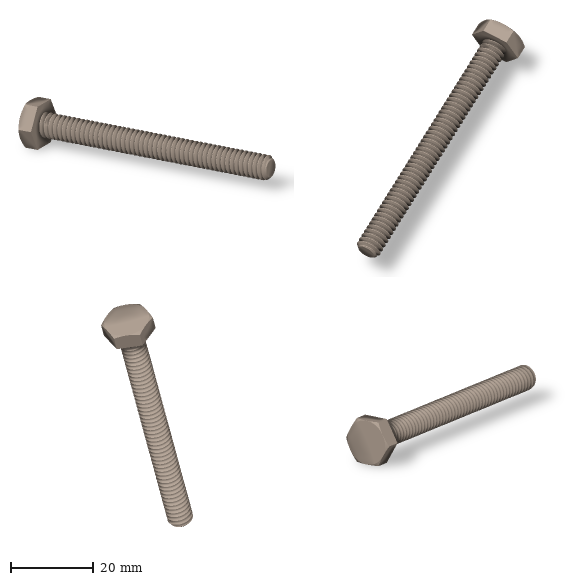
import cadquery as cq
import math

INCH = 25.4

across_flats = 7 / 16 * INCH
across_corners = across_flats / math.cos(math.radians(30))
head_height = 5 / 32 * INCH
head_chamfer_angle = 30
head_face_diameter = 0.998 * across_flats

shank_diameter = INCH / 4
shank_length = 2.5 * INCH
pitch = INCH / 20

flank_slope = math.tan(math.radians(60 / 2))
crest_flat = pitch / 8
root_flat = pitch / 8
thread_depth = (pitch - crest_flat - root_flat) / 2 / flank_slope
first_crest = 0.24
tip_chamfer = 0.95
thread_overrun = 2 * pitch
core_overrun = 3 * pitch
ridge_embed = 0.05
trim_clearance = 0.3

major_radius = shank_diameter / 2
root_radius = major_radius - thread_depth


def make_head():
    """Hexagonal prism with flats facing +Z and -Z and its outer corners coned off."""
    prism = (
        cq.Workplane("YZ")
        .workplane(offset=-head_height)
        .polygon(6, across_corners)
        .extrude(head_height)
    )
    face_radius = head_face_diameter / 2
    envelope_radius = across_corners
    cone_length = (envelope_radius - face_radius) * math.tan(math.radians(head_chamfer_angle))
    envelope = (
        cq.Workplane("XY")
        .moveTo(-head_height, 0)
        .lineTo(-head_height, face_radius)
        .lineTo(-head_height + cone_length, envelope_radius)
        .lineTo(0, envelope_radius)
        .lineTo(0, 0)
        .close()
        .revolve(360, (0, 0, 0), (1, 0, 0))
    )
    return prism.intersect(envelope)


def make_thread_ridge():
    """Right-handed helical ridge that runs past both ends of the shank."""
    half_crest = crest_flat / 2
    half_base = half_crest + (thread_depth + ridge_embed) * flank_slope
    base_radius = root_radius - ridge_embed

    helix = cq.Wire.makeHelix(pitch, shank_length + 2 * thread_overrun, major_radius)
    ridge = (
        cq.Workplane("XZ")
        .moveTo(base_radius, -half_base)
        .lineTo(major_radius, -half_crest)
        .lineTo(major_radius, half_crest)
        .lineTo(base_radius, half_base)
        .close()
        .sweep(cq.Workplane(helix), isFrenet=True)
    )
    thread_plane = cq.Plane(
        origin=(first_crest - thread_overrun, 0, 0), xDir=(0, 0, 1), normal=(1, 0, 0)
    )
    return cq.Workplane(ridge.val().moved(cq.Location(thread_plane)))


def make_shank():
    """Core with a thread along its whole length, trimmed flat at the head and chamfered at the tip."""
    core = (
        cq.Workplane("YZ")
        .workplane(offset=-core_overrun)
        .circle(root_radius)
        .extrude(shank_length + 2 * core_overrun)
    )
    trim = (
        cq.Workplane("YZ")
        .circle(major_radius + trim_clearance)
        .extrude(shank_length)
        .faces(">X")
        .chamfer(tip_chamfer + trim_clearance)
    )
    return core.union(make_thread_ridge(), clean=False).intersect(trim, clean=False)


result = make_head().union(make_shank(), clean=False).solids()